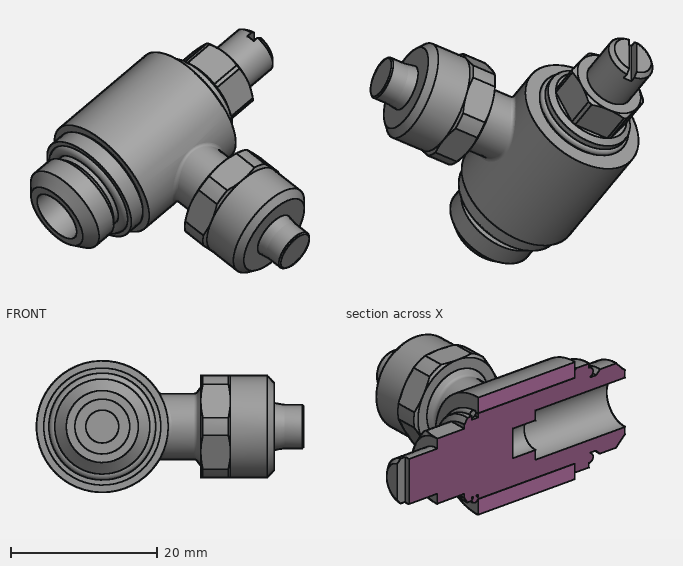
import cadquery as cq
import math


BARREL_DIA = 18.0
BARREL_START = 8.85
BARREL_END = 25.9
SHANK_DIA = 13.05

ARM_Y = 18.37
NECK_DIA = 9.0
NECK_END = 12.52
NECK_FILLET = 0.47
FLARE_ARC_LENGTH = 0.47
FLARE_ANGLE = math.radians(55)
NUT_START = 13.47
NUT_END = 17.5
NUT_FLATS = 14.0
NUT_CORNER_DIA = 14.97
SLEEVE_END = 22.52
SLEEVE_DIA = NUT_FLATS
CAP_END = 23.5
CAP_DIA = 11.95
TUBE_BASE_DIA = 6.48
TUBE_TAPER_END = 24.95
TUBE_DIA = 6.0
TUBE_END = 27.5
TUBE_CHAMFER = 0.2

TIP_CHAMFER = 1.6
THREAD_DIA = 13.0
THREAD_END = 4.45
RELIEF_DIA = 11.6
RELIEF_CHAMFER = (THREAD_DIA - RELIEF_DIA) / 2
FLANGE_START = 6.35
SEAL_RADIUS = 0.75
FLANGE_DIA = 16.0
FLANGE_CHAMFER = 0.2
COLLAR_END = 28.35
COLLAR_CHAMFER = 0.55
HEAD_END = 33.15
HEAD_FLATS = 10.05
HEAD_CORNER_DIA = 11.25
SCREW_DIA = 7.0
SCREW_CHAMFER = 0.6
BOLT_LENGTH = 39.5
SLOT_WIDTH = 1.2
SLOT_DEPTH = 1.4

BORE_DIA = 7.5
BORE_DEPTH = 15.8
INNER_BORE_DIA = 4.5
INNER_BORE_DEPTH = 19.75

GROOVE_DIA = 11.95
GROOVE_END = 27.02
RING_DIA = 14.0
RING_WIRE_DIA = 1.05
RING_Y = (BARREL_END + GROOVE_END) / 2
RING_GAP = 0.47

HEX_CHAMFER_SLOPE = math.tan(math.radians(30))


def y_cylinder(dia, start, end):
    """Cylinder on the bolt axis between two Y positions."""
    plane = cq.Plane(origin=(0, start, 0), xDir=(1, 0, 0), normal=(0, 1, 0))
    return cq.Workplane(plane).circle(dia / 2).extrude(end - start)


def hexagon(flats, corner_dia, length, chamfer_both_ends):
    """Hexagon along local Z, flats facing local Y, with turned corners and chamfered ends."""
    prism = cq.Workplane("XY").polygon(6, flats / math.cos(math.pi / 6)).extrude(length)
    flat_radius = flats / 2
    corner_radius = corner_dia / 2
    drop = (corner_radius - flat_radius) * HEX_CHAMFER_SLOPE
    outline = cq.Workplane("XZ").moveTo(0, 0)
    if chamfer_both_ends:
        outline = outline.lineTo(flat_radius, 0).lineTo(corner_radius, drop)
    else:
        outline = outline.lineTo(corner_radius, 0)
    envelope = (
        outline.lineTo(corner_radius, length - drop)
        .lineTo(flat_radius, length)
        .lineTo(0, length)
        .close()
        .revolve(360, (0, 0, 0), (0, 1, 0))
    )
    return prism.intersect(envelope)


def make_barrel_and_neck():
    barrel = y_cylinder(BARREL_DIA, BARREL_START, BARREL_END)
    neck = cq.Workplane("YZ").center(ARM_Y, 0).circle(NECK_DIA / 2).extrude(NECK_END)
    joined = barrel.union(neck)
    box_reach = NECK_DIA / 2 + NECK_FILLET
    joint = cq.selectors.BoxSelector(
        (0, ARM_Y - box_reach, -box_reach),
        (BARREL_DIA / 2 + NECK_FILLET, ARM_Y + box_reach, box_reach),
        boundingbox=True,
    )
    return joined.edges(joint).fillet(NECK_FILLET)


def make_flare():
    """Rounded then conical transition from the neck to the nut."""
    neck_radius = NECK_DIA / 2
    arc_radius = FLARE_ARC_LENGTH / math.sin(FLARE_ANGLE)

    def arc_point(angle):
        return (
            NECK_END + arc_radius * math.sin(angle),
            neck_radius + arc_radius * (1 - math.cos(angle)),
        )

    arc_x, arc_end_radius = arc_point(FLARE_ANGLE)
    flare_end_radius = arc_end_radius + (NUT_START - arc_x) * math.tan(FLARE_ANGLE)
    return (
        cq.Workplane("XY", origin=(0, ARM_Y, 0))
        .moveTo(NECK_END, 0)
        .lineTo(NECK_END, neck_radius)
        .threePointArc(arc_point(FLARE_ANGLE / 2), (arc_x, arc_end_radius))
        .lineTo(NUT_START, flare_end_radius)
        .lineTo(NUT_START, 0)
        .close()
        .revolve(360, (0, 0, 0), (1, 0, 0))
    )


def make_nut():
    nut = hexagon(NUT_FLATS, NUT_CORNER_DIA, NUT_END - NUT_START, True)
    nut = nut.rotate((0, 0, 0), (0, 1, 0), 90).rotate((0, 0, 0), (1, 0, 0), 90)
    return nut.translate((NUT_START, ARM_Y, 0))


def make_sleeve_and_tube():
    outline = [
        (NUT_END, 0),
        (NUT_END, SLEEVE_DIA / 2),
        (SLEEVE_END, SLEEVE_DIA / 2),
        (CAP_END, CAP_DIA / 2),
        (CAP_END, TUBE_BASE_DIA / 2),
        (TUBE_TAPER_END, TUBE_DIA / 2),
        (TUBE_END - TUBE_CHAMFER, TUBE_DIA / 2),
        (TUBE_END, TUBE_DIA / 2 - TUBE_CHAMFER),
        (TUBE_END, 0),
    ]
    return (
        cq.Workplane("XY", origin=(0, ARM_Y, 0))
        .polyline(outline)
        .close()
        .revolve(360, (0, 0, 0), (1, 0, 0))
    )


def make_housing():
    housing = (
        make_barrel_and_neck()
        .union(make_flare())
        .union(make_nut())
        .union(make_sleeve_and_tube())
    )
    return housing.cut(y_cylinder(SHANK_DIA, BARREL_START, BARREL_END))


def make_turned_bolt():
    """Thread, relief, seal, flange, shank, ring groove and collar, turned about Y."""
    thread_radius = THREAD_DIA / 2
    shank_radius = SHANK_DIA / 2
    relief_radius = RELIEF_DIA / 2
    groove_radius = GROOVE_DIA / 2
    flange_radius = FLANGE_DIA / 2
    seal_center = relief_radius + SEAL_RADIUS
    return (
        cq.Workplane("XY")
        .moveTo(0, 0)
        .lineTo(thread_radius - TIP_CHAMFER, 0)
        .lineTo(thread_radius, TIP_CHAMFER)
        .lineTo(thread_radius, THREAD_END)
        .lineTo(relief_radius, THREAD_END + RELIEF_CHAMFER)
        .lineTo(relief_radius, FLANGE_START)
        .threePointArc(
            (seal_center, FLANGE_START - SEAL_RADIUS),
            (seal_center + SEAL_RADIUS, FLANGE_START),
        )
        .lineTo(flange_radius, FLANGE_START)
        .lineTo(flange_radius, BARREL_START - FLANGE_CHAMFER)
        .lineTo(flange_radius - FLANGE_CHAMFER, BARREL_START)
        .lineTo(shank_radius, BARREL_START)
        .lineTo(shank_radius, BARREL_END)
        .lineTo(groove_radius, BARREL_END)
        .lineTo(groove_radius, GROOVE_END)
        .lineTo(shank_radius, GROOVE_END)
        .lineTo(shank_radius, COLLAR_END - COLLAR_CHAMFER)
        .lineTo(HEAD_CORNER_DIA / 2, COLLAR_END)
        .lineTo(0, COLLAR_END)
        .close()
        .revolve(360, (0, 0, 0), (0, 1, 0))
    )


def make_head():
    head = hexagon(HEAD_FLATS, HEAD_CORNER_DIA, HEAD_END - COLLAR_END, False)
    return head.rotate((0, 0, 0), (1, 0, 0), -90).translate((0, COLLAR_END, 0))


def make_screw_end():
    """Adjusting screw end with a driver slot running along Z."""
    screw = y_cylinder(SCREW_DIA, HEAD_END, BOLT_LENGTH).faces(">Y").chamfer(SCREW_CHAMFER)
    slot = cq.Workplane("XY").box(SLOT_WIDTH, 2 * SLOT_DEPTH, SCREW_DIA)
    return screw.cut(slot.translate((0, BOLT_LENGTH, 0)))


def make_ring():
    """Round-wire ring seated in the groove, split on the +Z side."""
    gap_plane = cq.Plane(origin=(0, RING_Y, 0), xDir=(0, 0, -1), normal=(1, 0, 0))
    wire_center = (RING_DIA - RING_WIRE_DIA) / 2
    ring = (
        cq.Workplane(gap_plane)
        .center(-wire_center, 0)
        .circle(RING_WIRE_DIA / 2)
        .revolve(360, (wire_center, 0, 0), (wire_center, 1, 0))
    )
    gap = cq.Workplane("XY").box(RING_GAP, 2 * RING_WIRE_DIA, RING_DIA)
    return ring.cut(gap.translate((0, RING_Y, RING_DIA / 2)))


def make_bolt():
    bolt = make_turned_bolt().union(make_ring()).union(make_head()).union(make_screw_end())
    bolt = bolt.cut(y_cylinder(BORE_DIA, 0, BORE_DEPTH))
    return bolt.cut(y_cylinder(INNER_BORE_DIA, BORE_DEPTH, INNER_BORE_DEPTH))


housing = make_housing()
bolt = make_bolt()
result = cq.Compound.makeCompound([housing.solids().val(), bolt.solids().val()])